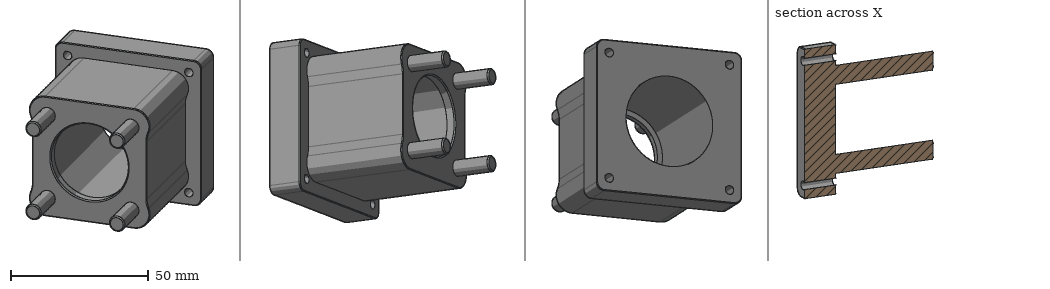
import cadquery as cq
import math

total_length = 68.0
flange_thickness = 13.0
pin_length = 14.95
back_y = total_length / 2
flange_front_y = back_y - flange_thickness
body_front_y = -back_y + pin_length
body_length = flange_front_y - body_front_y

flange_size = 57.0
flange_corner_radius = 3.0
screw_hole_diameter = 3.25
screw_hole_spacing = 47.2
edge_chamfer = 0.35

body_size = 47.0
body_corner_radius = 6.25
waist_width = 44.6
waist_blend_radius = 9.2

pin_diameter = 6.0
pin_spacing = 32.6
pin_chamfer = 0.5

lip_diameter = 30.0
lip_depth = 3.5
lip_chamfer = 0.5
bore_diameter = 34.0


def plane_at(y):
    """XZ plane at the given Y, with its normal toward -Y."""
    return cq.Workplane("XZ", origin=(0, y, 0))


def make_flange():
    return (
        plane_at(back_y)
        .rect(flange_size, flange_size)
        .extrude(flange_thickness)
        .edges("|Y")
        .fillet(flange_corner_radius)
        .faces("<Y or >Y")
        .edges()
        .chamfer(edge_chamfer)
    )


def body_outline():
    half = body_size / 2
    waist = waist_width / 2
    corner = half - body_corner_radius
    recess = half - waist
    turn = math.acos(1 - recess / (body_corner_radius + waist_blend_radius))
    blend_x = corner + body_corner_radius * math.cos(turn)
    blend_z = corner - body_corner_radius * math.sin(turn)
    flat_z = blend_z - waist_blend_radius * math.sin(turn)
    quarter = (
        plane_at(body_front_y + body_length)
        .moveTo(0, half)
        .lineTo(corner, half)
        .tangentArcPoint((blend_x, blend_z), relative=False)
        .tangentArcPoint((waist, flat_z), relative=False)
        .lineTo(waist, 0)
    )
    return quarter.mirrorX().mirrorY()


def make_body():
    return body_outline().extrude(body_length).faces("<Y").edges().chamfer(edge_chamfer)


def make_pins():
    return (
        plane_at(body_front_y)
        .rect(pin_spacing, pin_spacing, forConstruction=True)
        .vertices()
        .circle(pin_diameter / 2)
        .extrude(pin_length)
        .faces("<Y")
        .edges()
        .chamfer(pin_chamfer)
    )


def make_bore():
    lip_radius = lip_diameter / 2
    bore_radius = bore_diameter / 2
    lip_back_y = body_front_y + lip_depth
    return (
        cq.Workplane("XY")
        .moveTo(0, body_front_y)
        .lineTo(lip_radius + lip_chamfer, body_front_y)
        .lineTo(lip_radius, body_front_y + lip_chamfer)
        .lineTo(lip_radius, lip_back_y)
        .lineTo(bore_radius, lip_back_y)
        .lineTo(bore_radius, back_y)
        .lineTo(0, back_y)
        .close()
        .revolve(360, (0, 0, 0), (0, 1, 0))
    )


def make_screw_holes():
    return (
        plane_at(back_y)
        .rect(screw_hole_spacing, screw_hole_spacing, forConstruction=True)
        .vertices()
        .circle(screw_hole_diameter / 2)
        .extrude(flange_thickness)
    )


result = make_flange().union(make_body()).union(make_pins()).cut(make_bore()).cut(make_screw_holes())